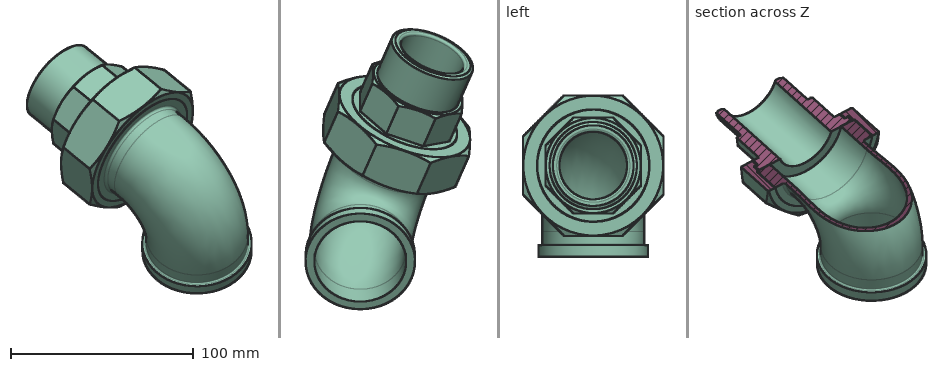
import cadquery as cq
import math


SPIGOT_END = 22.9
NUT_START = 42.8
NUT_END = 67.5
LIP_THICKNESS = 4.2
FLANGE_THICKNESS = 4.2
LIP_END = NUT_START + LIP_THICKNESS
JOINT = LIP_END + FLANGE_THICKNESS

SPIGOT_DIAMETER = 47.8
SPIGOT_TIP_DIAMETER = 44.2
SPIGOT_TIP_LENGTH = 1.0
TAIL_BORE = 37.0
TAIL_BORE_FILLET = 1.5
TAIL_ACROSS_FLATS = 52.5
COLLAR_DIAMETER = 61.3
FLANGE_DIAMETER = 65.5

NUT_ACROSS_FLATS = 77.0
LIP_BORE = 61.7
FLANGE_BORE = 65.9
THREAD_DIAMETER = 68.0

PIPE_DIAMETER = 56.0
ELBOW_BORE = 50.3
BEND_RADIUS = 36.0
OUTLET_DIAMETER = 60.0
OUTLET_COLLAR_HEIGHT = 6.5
OVERALL_LENGTH = 140.2
OVERALL_HEIGHT = 88.5
INLET_FILLET = 1.4
OUTLET_FILLET = 0.7
OUTLET_X = OVERALL_LENGTH - OUTLET_DIAMETER / 2
BEND_START = OUTLET_X - BEND_RADIUS
OUTLET_Z = NUT_ACROSS_FLATS / 2 - OVERALL_HEIGHT

OCTAGON_SIDES = 8
BEVEL_ANGLE = 30.0
BEVEL_INSET = 0.21


def cylinder_x(diameter, start, end):
    return cq.Workplane("YZ", origin=(start, 0, 0)).circle(diameter / 2).extrude(end - start)


def cylinder_z(diameter, bottom, top):
    return cq.Workplane("XY", origin=(OUTLET_X, 0, bottom)).circle(diameter / 2).extrude(top - bottom)


def bevelled_octagon(across_flats, start, end, bevel_both_ends):
    """Octagonal prism along X with its corners turned off at one or both ends."""
    across_corners = across_flats / math.cos(math.pi / OCTAGON_SIDES)
    prism = (
        cq.Workplane("YZ", origin=(start, 0, 0))
        .transformed(rotate=(0, 0, 180 / OCTAGON_SIDES))
        .polygon(OCTAGON_SIDES, across_corners)
        .extrude(end - start)
    )
    face_radius = across_flats / 2 - BEVEL_INSET
    outer_radius = across_corners / 2
    bevel_length = (outer_radius - face_radius) * math.tan(math.radians(BEVEL_ANGLE))
    turned = cq.Workplane("XY").moveTo(start, 0).lineTo(start, face_radius)
    turned = turned.lineTo(start + bevel_length, outer_radius)
    if bevel_both_ends:
        turned = turned.lineTo(end - bevel_length, outer_radius).lineTo(end, face_radius)
    else:
        turned = turned.lineTo(end, outer_radius)
    turned = turned.lineTo(end, 0).close().revolve(360, (0, 0, 0), (1, 0, 0))
    return prism.intersect(turned)


def make_tailpiece():
    spigot = (
        cq.Workplane("XY")
        .lineTo(0, SPIGOT_TIP_DIAMETER / 2)
        .lineTo(SPIGOT_TIP_LENGTH, SPIGOT_DIAMETER / 2)
        .lineTo(SPIGOT_END, SPIGOT_DIAMETER / 2)
        .lineTo(SPIGOT_END, 0)
        .close()
        .revolve(360, (0, 0, 0), (1, 0, 0))
    )
    grip = bevelled_octagon(TAIL_ACROSS_FLATS, SPIGOT_END, NUT_START, bevel_both_ends=False)
    collar = cylinder_x(COLLAR_DIAMETER, NUT_START, LIP_END)
    flange = cylinder_x(FLANGE_DIAMETER, LIP_END, JOINT)
    bore = cylinder_x(TAIL_BORE, 0, JOINT)
    body = spigot.union(grip).union(collar).union(flange).cut(bore)
    bore_rim = cq.selectors.RadiusNthSelector(0)
    return body.faces("<X").edges(bore_rim).fillet(TAIL_BORE_FILLET)


def make_nut():
    body = bevelled_octagon(NUT_ACROSS_FLATS, NUT_START, NUT_END, bevel_both_ends=True)
    lip_bore = cylinder_x(LIP_BORE, NUT_START, LIP_END)
    flange_bore = cylinder_x(FLANGE_BORE, LIP_END, JOINT)
    thread_bore = cylinder_x(THREAD_DIAMETER, JOINT, NUT_END)
    return body.cut(lip_bore).cut(flange_bore).cut(thread_bore)


def elbow_run(diameter):
    """Round bar running from the joint, around the bend and down to the outlet."""
    inlet = cylinder_x(diameter, JOINT, BEND_START)
    bend = (
        cq.Workplane("YZ", origin=(BEND_START, 0, 0))
        .circle(diameter / 2)
        .revolve(90, (0, -BEND_RADIUS, 0), (1, -BEND_RADIUS, 0))
    )
    outlet = cylinder_z(diameter, OUTLET_Z, -BEND_RADIUS)
    return inlet.union(bend).union(outlet)


def root_flare_x():
    """Concave flare from the threaded end's back face onto the pipe."""
    pipe_radius = PIPE_DIAMETER / 2
    middle = INLET_FILLET * (1 - math.sqrt(0.5))
    return (
        cq.Workplane("XY")
        .moveTo(NUT_END, 0)
        .lineTo(NUT_END, pipe_radius + INLET_FILLET)
        .threePointArc(
            (NUT_END + middle, pipe_radius + middle),
            (NUT_END + INLET_FILLET, pipe_radius),
        )
        .lineTo(NUT_END + INLET_FILLET, 0)
        .close()
        .revolve(360, (0, 0, 0), (1, 0, 0))
    )


def root_flare_z():
    """Concave flare from the outlet collar's top face onto the pipe."""
    pipe_radius = PIPE_DIAMETER / 2
    middle = OUTLET_FILLET * (1 - math.sqrt(0.5))
    return (
        cq.Workplane("XZ", origin=(OUTLET_X, 0, OUTLET_Z + OUTLET_COLLAR_HEIGHT))
        .lineTo(pipe_radius + OUTLET_FILLET, 0)
        .threePointArc((pipe_radius + middle, middle), (pipe_radius, OUTLET_FILLET))
        .lineTo(0, OUTLET_FILLET)
        .close()
        .revolve(360, (0, 0, 0), (0, 1, 0))
    )


def make_elbow():
    threaded_end = cylinder_x(THREAD_DIAMETER, JOINT, NUT_END)
    outlet_collar = cylinder_z(OUTLET_DIAMETER, OUTLET_Z, OUTLET_Z + OUTLET_COLLAR_HEIGHT)
    body = elbow_run(PIPE_DIAMETER).union(threaded_end).union(outlet_collar)
    body = body.union(root_flare_x()).union(root_flare_z())
    return body.cut(elbow_run(ELBOW_BORE))


tailpiece = make_tailpiece()
nut = make_nut()
elbow = make_elbow()

result = cq.Compound.makeCompound([tailpiece.val(), nut.val(), elbow.val()])